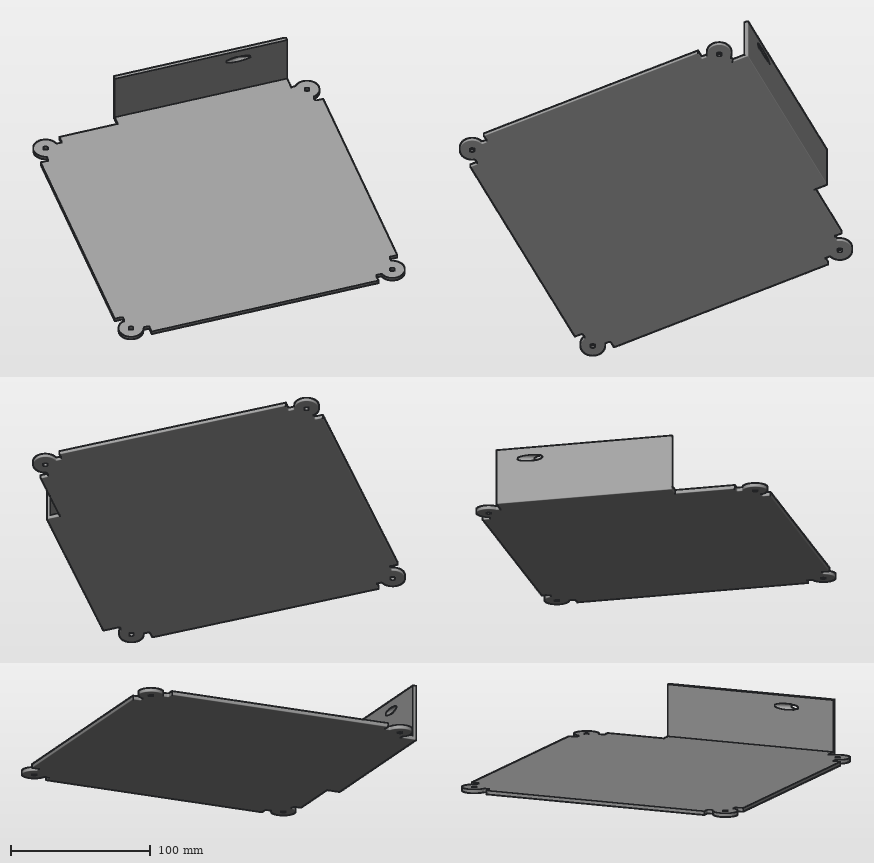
import cadquery as cq
import math

thickness = 3.0
plate_side = 213.0
half_plate = plate_side / 2

ear_radius = 9.0
ear_pitch = 197.0
ear_offset = ear_pitch / 2
ear_hole_diameter = 3.5

relief_floor = ear_offset + 2.0
relief_side = ear_offset - 13.0
relief_radius = 1.0

total_length = 224.0
wall_height = 41.0
wall_outer_x = ear_offset + ear_radius - total_length
wall_inner_x = wall_outer_x + thickness
wall_front_y = -41.5
wall_length = 130.0
wall_back_y = wall_front_y + wall_length
wall_edge_radius = 1.0
wall_relief_depth = 5.7
wall_relief_x = -ear_offset - wall_relief_depth

slant_hole_diameter = 4.5
slant_angle = 14.0
slant_hole_y = 63.5
slant_hole_z = 33.0

underside_radius = 0.5

edge_search = 0.1


def box(x_min, x_max, y_min, y_max, height):
    """Block standing on Z = 0 between the given limits."""
    return (
        cq.Workplane("XY")
        .box(x_max - x_min, y_max - y_min, height, centered=False)
        .translate((x_min, y_min, 0))
    )


def ear_reach(offset):
    """Half chord of an ear at the given distance from its centre."""
    return math.sqrt(ear_radius**2 - offset**2)


def make_plate():
    """Square plate with relieved corners, made of three crossing blocks."""
    core = box(-relief_floor, relief_floor, -relief_floor, relief_floor, thickness)
    along_x = box(-half_plate, half_plate, -relief_side, relief_side, thickness)
    along_y = box(-relief_side, relief_side, -half_plate, half_plate, thickness)
    return core.union(along_x).union(along_y)


def make_wall():
    """Upright wall with the foot that joins it to the plate and the -X +Y ear."""
    wall = box(wall_outer_x, wall_inner_x, wall_front_y, wall_back_y, wall_height)
    wall = wall.edges("|Z and <X").fillet(wall_edge_radius)
    foot = box(wall_inner_x, -relief_floor, wall_front_y, wall_back_y, thickness)
    ear_link = box(wall_relief_x, -relief_floor, wall_front_y, ear_offset, thickness)
    return wall.union(foot).union(ear_link)


def add_ears(body):
    """Round ears with a screw hole in each."""
    centres = cq.Workplane("XY").rect(ear_pitch, ear_pitch, forConstruction=True).vertices()
    discs = centres.circle(ear_radius).extrude(thickness)
    holes = centres.circle(ear_hole_diameter / 2).extrude(thickness)
    return body.union(discs).cut(holes)


def relief_corners():
    """XY places of the inner corners at both ends of every relief floor."""
    ear_end = ear_offset - ear_reach(relief_floor - ear_offset)
    corners = []
    for x_sign in (1, -1):
        for y_sign in (1, -1):
            for end in (ear_end, relief_side):
                corners.append((x_sign * end, y_sign * relief_floor))
                beside_wall = x_sign < 0 and y_sign > 0
                if not beside_wall:
                    corners.append((x_sign * relief_floor, y_sign * end))
    corners.append((wall_relief_x, ear_offset - ear_reach(wall_relief_depth)))
    return corners


def round_reliefs(body):
    """Fillet the vertical edges in the relief corners."""
    for x, y in relief_corners():
        around_edge = cq.selectors.BoxSelector(
            (x - edge_search, y - edge_search, 0),
            (x + edge_search, y + edge_search, thickness),
        )
        body = body.edges(around_edge).fillet(relief_radius)
    return body


def round_underside(body):
    """Fillet the outer outline of the bottom face."""
    outline = body.faces("<Z").val().outerWire()
    return body.newObject(outline.Edges()).fillet(underside_radius)


def make_slant_hole():
    """Cylinder that passes through the wall towards +X and -Y."""
    angle = math.radians(slant_angle)
    axis = cq.Vector(math.sin(angle), -math.cos(angle), 0)
    reach = 2 * thickness / math.sin(angle)
    start = cq.Vector(wall_outer_x, slant_hole_y, slant_hole_z) - axis * reach
    hole = cq.Solid.makeCylinder(slant_hole_diameter / 2, 2 * reach, start, axis)
    return cq.Workplane(hole)


body = make_plate().union(make_wall())
body = add_ears(body)
body = round_reliefs(body)
body = round_underside(body)
result = body.cut(make_slant_hole())